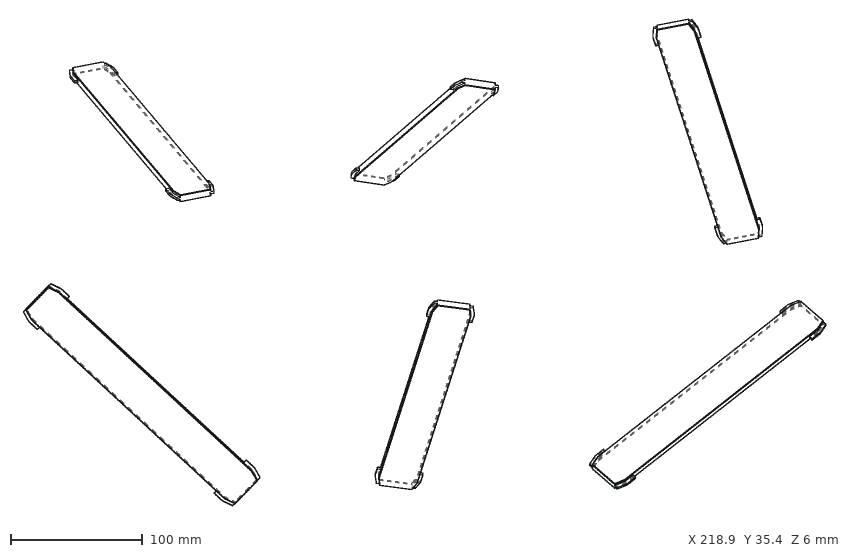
import cadquery as cq

length = 218.92
overall_width = 35.43
thickness = 6.0

bar_width = 30.1
taper_length = 8.4
taper_depth = 2.6
edge_chamfer = 0.5

tab_length = 17.0
tab_thickness = 2.0


def tapered_plate(width, height):
    """Full-length plate, centred on the origin, with tapered corners."""
    end_x = length / 2
    side_y = width / 2
    shoulder_x = end_x - taper_length
    end_y = side_y - taper_depth
    outline = [
        (end_x, end_y),
        (shoulder_x, side_y),
        (-shoulder_x, side_y),
        (-end_x, end_y),
        (-end_x, -end_y),
        (-shoulder_x, -side_y),
        (shoulder_x, -side_y),
        (end_x, -end_y),
    ]
    return cq.Workplane("XY").polyline(outline).close().extrude(height / 2, both=True)


def make_bar():
    """Main plate with chamfered top and bottom rims."""
    return tapered_plate(bar_width, thickness).faces("|Z").chamfer(edge_chamfer)


def make_tabs():
    """Wider, thinner plate with its middle removed, leaving the end pieces."""
    middle_length = length - 2 * tab_length
    middle = cq.Workplane("XY").box(middle_length, overall_width, tab_thickness)
    return tapered_plate(overall_width, tab_thickness).cut(middle)


result = make_bar().union(make_tabs())